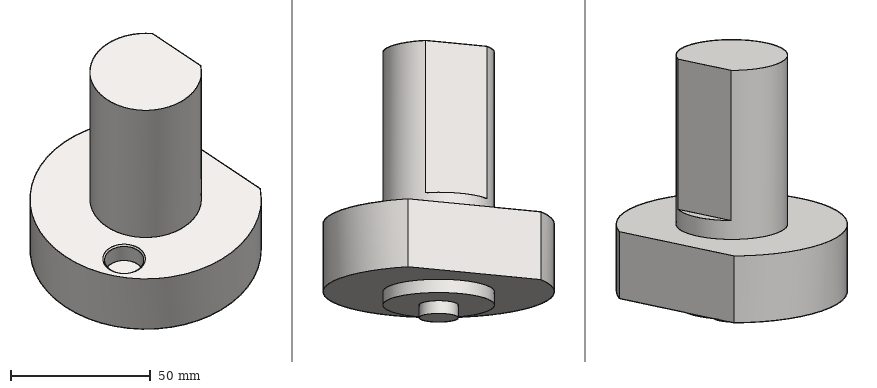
import cadquery as cq
import math

flange_diameter = 82.9
flange_flat_y = 32.4
flange_bottom = 9.6
flange_top = 34.5

shaft_diameter = 40.0
shaft_flat_y = 16.0
shaft_flat_bottom = 41.5
overall_height = 97.5

spigot_bottom = 4.7
pin_diameter = 14.0

hole_diameter = 14.0
hole_chamfer = 0.6
hole_depth = 7.5
hole_circle_radius = 32.0
hole_angle = -60.0


def cylinder(diameter, bottom, top):
    """Vertical cylinder on the Z axis between two heights."""
    return cq.Workplane("XY").workplane(offset=bottom).circle(diameter / 2).extrude(top - bottom)


def cut_flat(body, flat_y, bottom, top):
    """Remove everything beyond flat_y on the +Y side between two heights."""
    size = 2 * flange_diameter
    waste = (
        cq.Workplane("XY")
        .box(size, size, top - bottom, centered=(True, False, False))
        .translate((0, flat_y, bottom))
    )
    return body.cut(waste)


def hole_cutter():
    """Cutter for the blind hole, widening into a chamfer at the flange top."""
    bore_radius = hole_diameter / 2
    mouth_radius = bore_radius + hole_chamfer
    profile = [
        (0, flange_top - hole_depth),
        (bore_radius, flange_top - hole_depth),
        (bore_radius, flange_top - hole_chamfer),
        (mouth_radius, flange_top),
        (0, flange_top),
    ]
    cutter = cq.Workplane("XZ").polyline(profile).close().revolve(360, (0, 0), (0, 1))
    angle = math.radians(hole_angle)
    hole_x = hole_circle_radius * math.cos(angle)
    hole_y = hole_circle_radius * math.sin(angle)
    return cutter.translate((hole_x, hole_y, 0))


flange = cylinder(flange_diameter, flange_bottom, flange_top)
flange = cut_flat(flange, flange_flat_y, flange_bottom, flange_top)
flange = flange.cut(hole_cutter())

shaft = cylinder(shaft_diameter, flange_top, overall_height)
shaft = cut_flat(shaft, shaft_flat_y, shaft_flat_bottom, overall_height)

spigot = cylinder(shaft_diameter, spigot_bottom, flange_bottom)
pin = cylinder(pin_diameter, 0, spigot_bottom)

result = flange.union(shaft).union(spigot).union(pin)